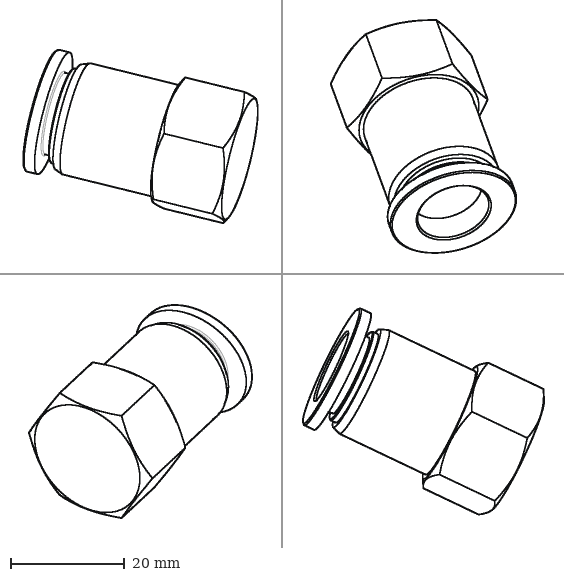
import cadquery as cq
import math

length = 36.4

flange_width = 22.97
flange_height = 20.5
flange_end = 2.2
flange_chamfer = 0.25
neck_diameter = 14.8
neck_fillet = 0.25
collar_start = 3.85
collar_diameter = 17.3
collar_chamfer = 0.2
collet_end = 5.0
bore_diameter = 13.0
bore_chamfer = 0.33

shoulder_diameter = 19.1
barrel_start = 6.45
barrel_diameter = 20.2
hex_start = 23.35
hex_across_flats = 22.25
hex_face_diameter = 21.85
hex_chamfer_angle = 30.0

bore_end = hex_start


def yz_plane(x):
    """Sketch plane across the fitting axis, facing +X."""
    return cq.Workplane("YZ", origin=(x, 0, 0))


def disc(diameter, start, end):
    """Cylinder on the fitting axis between two X positions."""
    return yz_plane(start).circle(diameter / 2).extrude(end - start)


def make_collet():
    flange = yz_plane(0).ellipse(flange_width / 2, flange_height / 2).extrude(flange_end)
    flange = flange.faces("<X").chamfer(flange_chamfer)
    neck = disc(neck_diameter, flange_end, collar_start)
    collet = flange.union(neck)
    collet = collet.edges("%CIRCLE").edges("<X").fillet(neck_fillet)
    collar = disc(collar_diameter, collar_start, collet_end)
    collar = collar.faces("<X").chamfer(collar_chamfer)
    collet = collet.union(collar)
    collet = collet.cut(disc(bore_diameter, 0, collet_end))
    return collet.faces("<X").edges("%CIRCLE").chamfer(bore_chamfer)


def make_hexagon():
    """Hexagon with corners on the Y axis and conical chamfers at both ends."""
    corner_diameter = hex_across_flats / math.cos(math.radians(30))
    corner_radius = corner_diameter / 2
    face_radius = hex_face_diameter / 2
    chamfer_length = (corner_radius - face_radius) * math.tan(math.radians(hex_chamfer_angle))
    prism = yz_plane(hex_start).polygon(6, corner_diameter).extrude(length - hex_start)
    envelope = (
        cq.Workplane("XY")
        .moveTo(hex_start, 0)
        .lineTo(hex_start, face_radius)
        .lineTo(hex_start + chamfer_length, corner_radius)
        .lineTo(length - chamfer_length, corner_radius)
        .lineTo(length, face_radius)
        .lineTo(length, 0)
        .close()
        .revolve(360, (0, 0, 0), (1, 0, 0))
    )
    return prism.intersect(envelope)


def make_housing():
    barrel = (
        cq.Workplane("XY")
        .moveTo(collet_end, 0)
        .lineTo(collet_end, shoulder_diameter / 2)
        .lineTo(barrel_start, barrel_diameter / 2)
        .lineTo(hex_start, barrel_diameter / 2)
        .lineTo(hex_start, 0)
        .close()
        .revolve(360, (0, 0, 0), (1, 0, 0))
    )
    bore = disc(bore_diameter, collet_end, bore_end)
    return barrel.union(make_hexagon()).cut(bore)


collet = make_collet()
housing = make_housing()

result = cq.Compound.makeCompound([collet.val(), housing.val()])